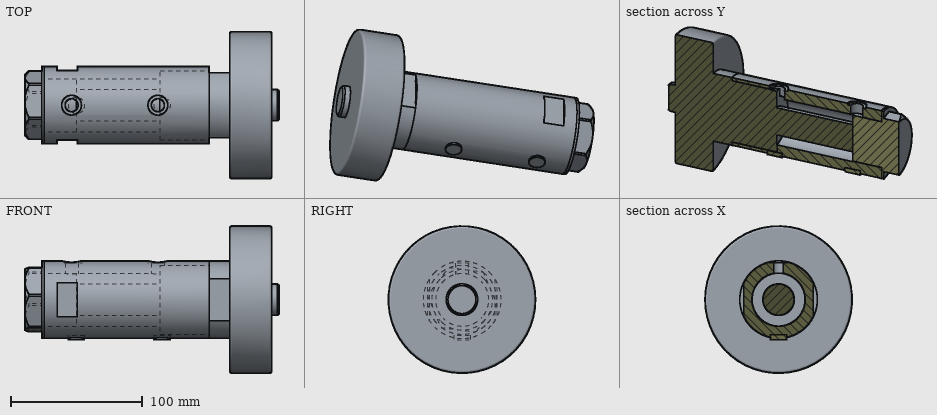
import cadquery as cq
import math

overall_length = 193.5

head_length = 13.0
head_across_flats = 46.0
head_corner_radius = 26.1
head_chamfer = 3.0
head_turn = -7.5
collar_thickness = 2.0
plug_radius = 20.1
plug_end = 39.0

body_radius = 29.5
sleeve_start = head_length + collar_thickness
sleeve_end = 140.0
slot_start = 24.5
slot_width = 15.5
slot_half_spacing = 26.5

port_positions = (35.5, 101.2)
port_diameter = 9.9
spotface_diameter = 15.0
spotface_depth = 1.4

stud_positions = (39.0, 104.3)
stud_diameter = 12.4
stud_bottom = -(body_radius + 1.2)
stud_top = -27.0

shaft_radius = 12.0
spigot_start = 102.5
spigot_radius = 26.3
neck_half_width = 24.8
disc_start = 155.7
disc_width = 32.1
disc_radius = 112.0 / 2
disc_fillet = 2.0
pin_chamfer = 1.4


def rod(start, end, radius):
    """Solid cylinder along the X axis."""
    return cq.Workplane("YZ", origin=(start, 0, 0)).circle(radius).extrude(end - start)


def vertical_rods(positions, diameter, bottom, top):
    """Upright cylinders standing at the given places along X."""
    points = [(x, 0) for x in positions]
    return (
        cq.Workplane("XY", origin=(0, 0, bottom))
        .pushPoints(points)
        .circle(diameter / 2)
        .extrude(top - bottom)
    )


def side_blocks(start, width, distance):
    """Two blocks lying beyond the planes Y = +distance and Y = -distance."""
    depth = body_radius
    blocks = cq.Workplane("XY")
    for side in (1, -1):
        centre = (start + width / 2, side * (distance + depth / 2), 0)
        blocks = blocks.add(cq.Workplane("XY", origin=centre).box(width, depth, 2 * body_radius))
    return blocks.combine()


def make_cap():
    hexagon = (
        cq.Workplane("YZ")
        .polygon(6, head_across_flats / math.cos(math.pi / 6))
        .extrude(head_length)
        .rotate((0, 0, 0), (1, 0, 0), head_turn)
    )
    trimmer = rod(0, head_length, head_corner_radius).faces("<X").chamfer(head_chamfer)
    head = hexagon.intersect(trimmer)
    collar = rod(head_length, sleeve_start, body_radius)
    plug = rod(sleeve_start, plug_end, plug_radius)
    return head.union(collar).union(plug)


def make_sleeve():
    sleeve = rod(sleeve_start, sleeve_end, body_radius)
    sleeve = sleeve.cut(side_blocks(slot_start, slot_width, slot_half_spacing))
    sleeve = sleeve.cut(vertical_rods(port_positions, port_diameter, 0, body_radius))
    spotface_floor = body_radius - spotface_depth
    sleeve = sleeve.cut(vertical_rods(port_positions, spotface_diameter, spotface_floor, body_radius))
    sleeve = sleeve.cut(vertical_rods(stud_positions, stud_diameter, stud_bottom, stud_top))
    sleeve = sleeve.cut(rod(sleeve_start, spigot_start, plug_radius))
    return sleeve.cut(rod(spigot_start, sleeve_end, spigot_radius))


def make_spindle():
    shaft = rod(plug_end, spigot_start, shaft_radius)
    spigot = rod(spigot_start, sleeve_end, spigot_radius)
    neck_length = disc_start - sleeve_end
    neck = rod(sleeve_end, disc_start, body_radius).cut(
        side_blocks(sleeve_end, neck_length, neck_half_width)
    )
    disc_end = disc_start + disc_width
    disc = rod(disc_start, disc_end, disc_radius).edges().fillet(disc_fillet)
    pin = rod(disc_end, overall_length, shaft_radius).faces(">X").chamfer(pin_chamfer)
    return shaft.union(spigot).union(neck).union(disc).union(pin)


def make_studs():
    return vertical_rods(stud_positions, stud_diameter, stud_bottom, stud_top)


cap = make_cap()
sleeve = make_sleeve()
spindle = make_spindle()
studs = make_studs()

result = cq.Compound.makeCompound([cap.val(), sleeve.val(), spindle.val(), *studs.vals()])